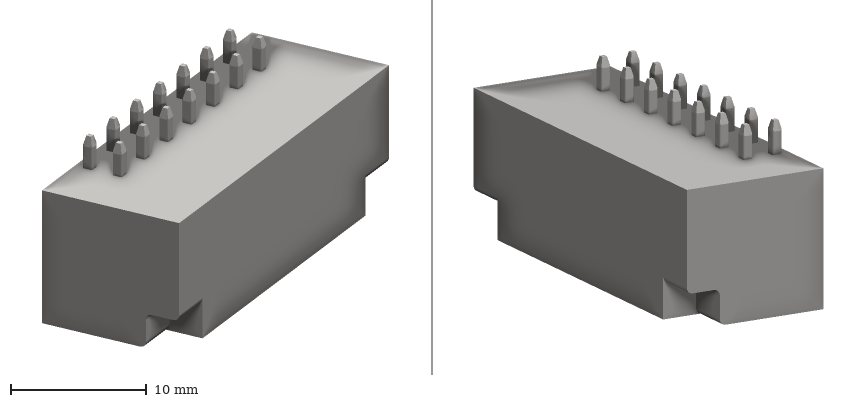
import cadquery as cq

body_width = 11.6
body_length = 31.5
total_height = 13.4
pin_height = 2.6
body_height = total_height - pin_height

step_width = 2.8
step_height = 2.8
step_radius = 0.5

row_count = 2
pins_per_row = 7
pin_pitch = 3.5
row_pitch = 2.5
first_row_inset = 1.1
pin_side = 0.8
pin_corner_radius = 0.13
tip_height = 0.8
tip_side = 0.4

step_length = (body_length - pins_per_row * pin_pitch) / 2


def make_body():
    """Plain block of the housing outline."""
    return cq.Workplane("XY").box(body_width, body_length, body_height, centered=(True, True, False))


def make_step_cut(start_y):
    """Relief running in +Y from start_y, with all three profile corners rounded."""
    right = body_width / 2
    left = right - step_width
    r = step_radius
    return (
        cq.Workplane("XZ", origin=(0, start_y, 0))
        .moveTo(left - r, 0)
        .radiusArc((left, r), -r)
        .lineTo(left, step_height - r)
        .radiusArc((left + r, step_height), r)
        .lineTo(right - r, step_height)
        .radiusArc((right, step_height + r), -r)
        .lineTo(right, 0)
        .close()
        .extrude(-step_length)
    )


def make_pin():
    """Square pin with rounded corners and a four-sided tapered tip."""
    shank_height = pin_height - tip_height
    shank = cq.Workplane("XY").rect(pin_side, pin_side).extrude(shank_height)
    tip = (
        cq.Workplane("XY", origin=(0, 0, shank_height))
        .rect(pin_side, pin_side)
        .workplane(offset=tip_height)
        .rect(tip_side, tip_side)
        .loft(ruled=True)
    )
    envelope = cq.Workplane("XY").rect(pin_side, pin_side).extrude(pin_height)
    envelope = envelope.edges("|Z").fillet(pin_corner_radius)
    return shank.union(tip).intersect(envelope)


result = make_body()

for start_y in (-body_length / 2, body_length / 2 - step_length):
    result = result.cut(make_step_cut(start_y))

pin = make_pin()
for row in range(row_count):
    pin_x = -body_width / 2 + first_row_inset + row * row_pitch
    for index in range(pins_per_row):
        pin_y = (index - (pins_per_row - 1) / 2) * pin_pitch
        result = result.union(pin.translate((pin_x, pin_y, body_height)))